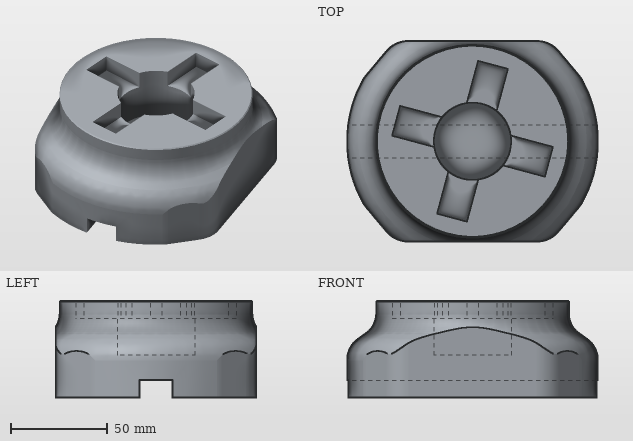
import cadquery as cq
import math

body_diameter = 130.0
body_width = 104.0
total_height = 50.0

neck_diameter = 100.0
neck_height = 6.9
top_chamfer = 0.5
rim_height = 19.2
cone_angle = math.radians(55)
shoulder_radius = 13.8

flat_angle = math.radians(40)
flat_distance = 64.1
corner_radius = 15.0

bore_diameter = 40.0
bore_depth = 28.0
pocket_count = 4
pocket_width = 16.0
pocket_reach = 41.0
pocket_depth = 9.0
pocket_tilt = -15

slot_width = 16.9
slot_height = 9.1

body_radius = body_diameter / 2
neck_radius = neck_diameter / 2
neck_base = total_height - neck_height


def turned_body():
    """Revolve the shoulder profile; the cone is tangent to both arcs."""
    cone_foot_r = body_radius - shoulder_radius * (1 - math.cos(cone_angle))
    cone_foot_z = rim_height + shoulder_radius * math.sin(cone_angle)
    half_tan = math.tan(cone_angle / 2)
    full_tan = math.tan(cone_angle)
    corner_z = cone_foot_z + (cone_foot_r - neck_radius) / full_tan
    hollow_tangent = neck_base - corner_z
    hollow_radius = hollow_tangent / half_tan
    hollow_center_r = neck_radius + hollow_radius
    cone_top = (
        hollow_center_r - hollow_radius * math.cos(cone_angle),
        neck_base - hollow_radius * math.sin(cone_angle),
    )
    hollow_mid = (
        hollow_center_r - hollow_radius * math.cos(cone_angle / 2),
        neck_base - hollow_radius * math.sin(cone_angle / 2),
    )
    shoulder_mid = (
        body_radius - shoulder_radius * (1 - math.cos(cone_angle / 2)),
        rim_height + shoulder_radius * math.sin(cone_angle / 2),
    )
    profile = (
        cq.Workplane("XZ")
        .lineTo(body_radius, 0)
        .lineTo(body_radius, rim_height)
        .threePointArc(shoulder_mid, (cone_foot_r, cone_foot_z))
        .lineTo(*cone_top)
        .threePointArc(hollow_mid, (neck_radius, neck_base))
        .lineTo(neck_radius, total_height - top_chamfer)
        .lineTo(neck_radius - top_chamfer, total_height)
        .lineTo(0, total_height)
        .close()
    )
    return profile.revolve(360, (0, 0, 0), (0, 1, 0))


def base_prism():
    """Disc outline with two long flats, four corner flats and rounded corners."""
    half_width = body_width / 2
    long_x = (flat_distance - half_width * math.sin(flat_angle)) / math.cos(flat_angle)
    rim_angle = flat_angle - math.acos(flat_distance / body_radius)
    rim_x = body_radius * math.cos(rim_angle)
    rim_y = body_radius * math.sin(rim_angle)
    return (
        cq.Workplane("XY")
        .moveTo(-long_x, half_width)
        .lineTo(long_x, half_width)
        .lineTo(rim_x, rim_y)
        .threePointArc((body_radius, 0), (rim_x, -rim_y))
        .lineTo(long_x, -half_width)
        .lineTo(-long_x, -half_width)
        .lineTo(-rim_x, -rim_y)
        .threePointArc((-body_radius, 0), (-rim_x, rim_y))
        .close()
        .extrude(total_height)
        .edges("|Z")
        .fillet(corner_radius)
    )


def key_recess():
    """Blind bore and the pockets radiating from it."""
    recess = (
        cq.Workplane("XY", origin=(0, 0, total_height))
        .circle(bore_diameter / 2)
        .extrude(-bore_depth)
    )
    for index in range(pocket_count):
        pocket = (
            cq.Workplane("XY", origin=(0, 0, total_height))
            .center(pocket_reach / 2, 0)
            .rect(pocket_reach, pocket_width)
            .extrude(-pocket_depth)
            .rotate((0, 0, 0), (0, 0, 1), pocket_tilt + index * 360 / pocket_count)
        )
        recess = recess.union(pocket)
    return recess


def bottom_slot():
    return cq.Workplane("XY").rect(body_diameter, slot_width).extrude(slot_height)


result = turned_body().intersect(base_prism()).cut(key_recess()).cut(bottom_slot())